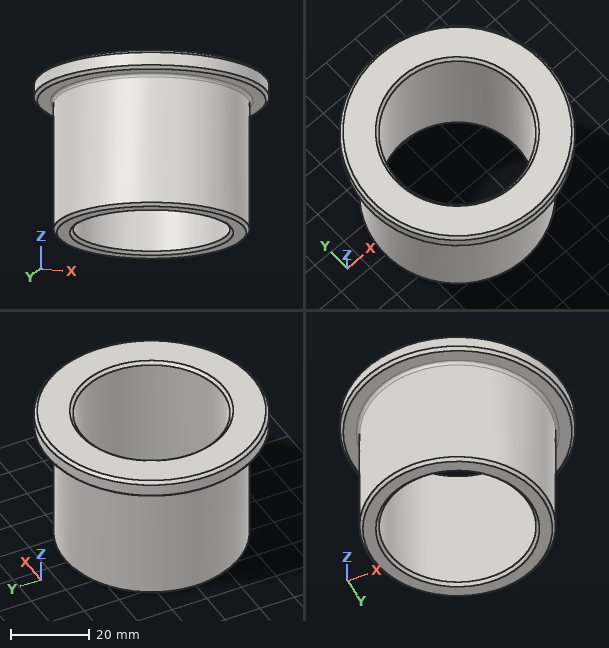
import cadquery as cq

flange_diameter = 60.0
wall = flange_diameter / 12
body_diameter = flange_diameter - 2 * wall
bore_diameter = body_diameter - 2 * wall
height = bore_diameter
flange_thickness = wall
edge_chamfer = 0.85
root_fillet = 0.85

flange_radius = flange_diameter / 2
body_radius = body_diameter / 2
bore_radius = bore_diameter / 2
flange_bottom = height - flange_thickness

section = (
    cq.Workplane("XZ")
    .moveTo(bore_radius, 0)
    .lineTo(body_radius, 0)
    .lineTo(body_radius, flange_bottom)
    .lineTo(flange_radius, flange_bottom)
    .lineTo(flange_radius, height)
    .lineTo(bore_radius, height)
    .close()
)
bushing = section.revolve(360, (0, 0, 0), (0, 1, 0))

inner_edge = cq.selectors.RadiusNthSelector(0)
outer_edge = cq.selectors.RadiusNthSelector(-1)
bushing = bushing.faces(">Z[-2]").edges(outer_edge).chamfer(edge_chamfer)
underside = cq.selectors.NearestToPointSelector((0, 0, flange_bottom))
bushing = bushing.faces("|Z").faces(underside).edges(inner_edge).fillet(root_fillet)

bushing = bushing.faces("<Z or >Z").edges().chamfer(edge_chamfer)

result = bushing